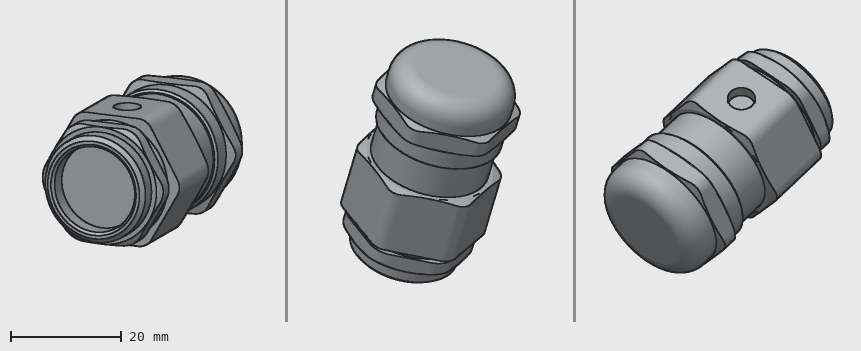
import cadquery as cq
import math

total_length = 41.58

spigot_diameter = 20.0
spigot_end_chamfer_axial = 0.75
spigot_end_chamfer_radial = 0.85
bore_diameter = 16.0
bore_depth = 3.6
bore_chamfer = 0.5

locknut_start = 3.4
locknut_length = 3.1
locknut_flats = 22.0
locknut_corner_radius = 4.4
locknut_face_diameter = 21.9
locknut_bevel_angle = 30.0

ring_section_radius = 1.0
ring_centre_radius = 10.2
ring_gap = 1.5

large_hex_flats = 24.0
large_hex_corner_radius = 3.0
large_hex_bevel_angle = 18.0
body_hex_length = 13.0
body_hex_face_diameter = 23.6
test_hole_diameter = 5.0
test_hole_depth = 2.3
test_hole_position = 14.5

sleeve_diameter = 22.0
sleeve_length = 6.7

cap_diameter = 23.5
cap_rim_chamfer_axial = 0.4
cap_rim_chamfer_radial = 0.5
cap_dome_radius = 4.0
cap_hex_offset = 3.93
cap_hex_length = 3.95

locknut_end = locknut_start + locknut_length
body_hex_start = locknut_end + ring_gap
body_hex_end = body_hex_start + body_hex_length
cap_start = body_hex_end + sleeve_length
cap_hex_start = cap_start + cap_hex_offset


def revolve_about_axis(profile):
    """Turn a closed (radius, Y) profile a full turn about the Y axis."""
    return profile.close().revolve(360, (0, 0, 0), (0, 1, 0))


def cylinder(diameter, start, length):
    """Solid cylinder along +Y from the given station."""
    return cq.Workplane("XZ", origin=(0, start, 0)).circle(diameter / 2).extrude(-length)


def bevel_envelope(face_diameter, flats, angle, start, length, bevel_front, bevel_back):
    """Turned blank whose conical ends bevel the corners of a hexagon."""
    face_radius = face_diameter / 2
    outer_radius = flats / math.sqrt(3)
    rise = (outer_radius - face_radius) * math.tan(math.radians(angle))
    end = start + length
    profile = cq.Workplane("XY").moveTo(0, start)
    if bevel_front:
        profile = profile.lineTo(face_radius, start).lineTo(outer_radius, start + rise)
    else:
        profile = profile.lineTo(outer_radius, start)
    if bevel_back:
        profile = profile.lineTo(outer_radius, end - rise).lineTo(face_radius, end)
    else:
        profile = profile.lineTo(outer_radius, end)
    return revolve_about_axis(profile.lineTo(0, end))


def hexagon(flats, corner_radius, start, length):
    """Hexagonal prism along +Y with rounded corners and flats facing +Z and -Z."""
    across_corners = 2 * flats / math.sqrt(3)
    prism = cq.Workplane("XZ", origin=(0, start, 0)).polygon(6, across_corners).extrude(-length)
    return prism.edges("|Y").fillet(corner_radius)


def make_spigot():
    """Threaded spigot, reaching back to the body hexagon, with a chamfered mouth."""
    spigot = cylinder(spigot_diameter, 0, body_hex_start)
    return spigot.faces("<Y").chamfer(spigot_end_chamfer_axial, spigot_end_chamfer_radial)


def make_bore():
    """Blind bore of the spigot with a countersunk mouth."""
    radius = bore_diameter / 2
    profile = (
        cq.Workplane("XY")
        .lineTo(radius + bore_chamfer, 0)
        .lineTo(radius, bore_chamfer)
        .lineTo(radius, bore_depth)
        .lineTo(0, bore_depth)
    )
    return revolve_about_axis(profile)


def make_locknut():
    """Locknut, bevelled on the face towards the mouth."""
    nut = hexagon(locknut_flats, locknut_corner_radius, locknut_start, locknut_length)
    return nut.intersect(bevel_envelope(
        locknut_face_diameter, locknut_flats, locknut_bevel_angle,
        locknut_start, locknut_length, bevel_front=True, bevel_back=False,
    ))


def make_ring():
    """O-ring bulging between the locknut and the body hexagon, its back sunk in the hexagon."""
    ring_back = locknut_end + 2 * ring_section_radius
    profile = (
        cq.Workplane("XY")
        .moveTo(0, locknut_end)
        .lineTo(ring_centre_radius, locknut_end)
        .threePointArc(
            (ring_centre_radius + ring_section_radius, locknut_end + ring_section_radius),
            (ring_centre_radius, ring_back),
        )
        .lineTo(0, ring_back)
    )
    return revolve_about_axis(profile)


def make_body_hex():
    """Body hexagon, bevelled on the face towards the cap."""
    body = hexagon(large_hex_flats, large_hex_corner_radius, body_hex_start, body_hex_length)
    return body.intersect(bevel_envelope(
        body_hex_face_diameter, large_hex_flats, large_hex_bevel_angle,
        body_hex_start, body_hex_length, bevel_front=False, bevel_back=True,
    ))


def make_test_hole():
    """Blind hole going down from the top flat of the body hexagon."""
    top_flat = cq.Workplane("XY", origin=(0, test_hole_position, large_hex_flats / 2))
    return top_flat.circle(test_hole_diameter / 2).extrude(-test_hole_depth)


def make_cap():
    """Domed cap with a chamfered rim and a hexagon bevelled on both faces."""
    cap = cylinder(cap_diameter, cap_start, total_length - cap_start)
    cap = cap.faces("<Y").chamfer(cap_rim_chamfer_axial, cap_rim_chamfer_radial)
    cap = cap.faces(">Y").edges().fillet(cap_dome_radius)
    grip = hexagon(large_hex_flats, large_hex_corner_radius, cap_hex_start, cap_hex_length)
    grip = grip.intersect(bevel_envelope(
        cap_diameter, large_hex_flats, large_hex_bevel_angle,
        cap_hex_start, cap_hex_length, bevel_front=True, bevel_back=True,
    ))
    return cap.union(grip)


result = (
    make_spigot()
    .union(make_locknut())
    .union(make_ring())
    .union(make_body_hex())
    .union(cylinder(sleeve_diameter, body_hex_end, sleeve_length))
    .union(make_cap())
    .cut(make_bore())
    .cut(make_test_hole())
)